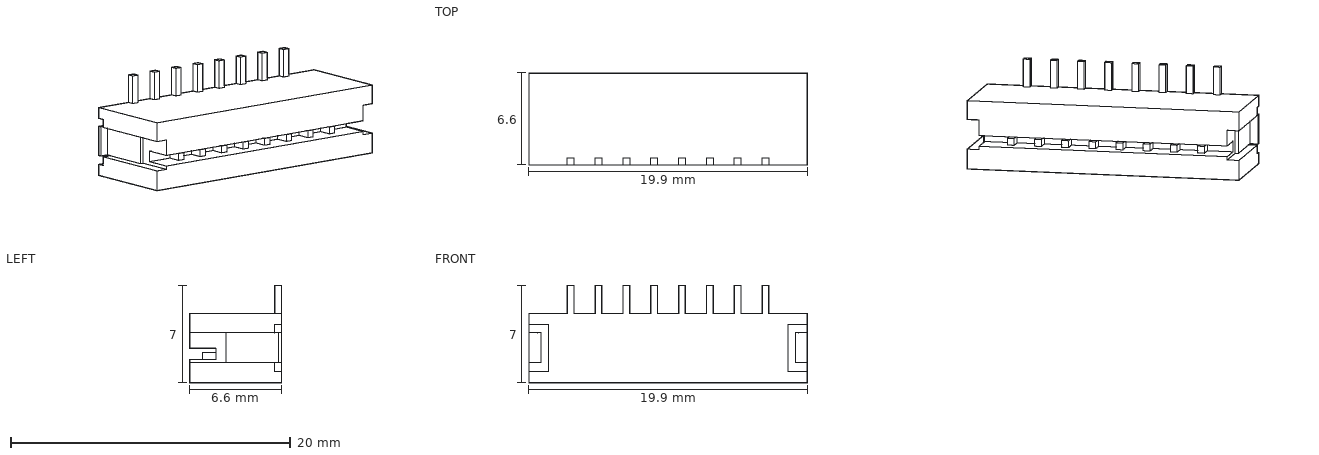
import cadquery as cq


length = 19.95
depth = 6.6
housing_height = 4.99

contact_count = 8
contact_pitch = 2.0
wire = 0.5
leg_top = 7.0
pin_tip_y = 5.69

channel_depth = 0.85
channel_bottom = 1.45
channel_top = 3.61

pocket_width = 1.4
pocket_depth = wire
pocket_bottom = 0.82
pocket_top = 4.19

slot_bottom = 1.7
slot_top = 2.47
slot_floor_y = 4.7

tab_thickness = 0.24
tab_length = 3.99


def box(x_range, y_range, z_range):
    """Box spanning the given (low, high) pair on each axis."""
    sizes = [high - low for low, high in (x_range, y_range, z_range)]
    corner = (x_range[0], y_range[0], z_range[0])
    return cq.Workplane("XY").box(*sizes, centered=False).translate(corner)


def with_opposite_end(shape):
    """Shape at the X = 0 end together with its mirror image at the other end."""
    return shape.union(shape.mirror("YZ", (length / 2, 0, 0)))


def make_housing():
    body = box((0, length), (0, depth), (0, housing_height))
    channel = box((0, channel_depth), (0, depth), (channel_bottom, channel_top))
    pocket = box((0, pocket_width), (0, pocket_depth), (pocket_bottom, pocket_top))
    slot = box((0, length), (slot_floor_y, depth), (slot_bottom, slot_top))
    return body.cut(with_opposite_end(channel.union(pocket))).cut(slot)


def make_tabs():
    """L-shaped tabs: a plate against the channel wall and a flange turned outward."""
    height_range = (channel_bottom, channel_top)
    plate = box((channel_depth - tab_thickness, channel_depth), (0, tab_length), height_range)
    flange = box((0, channel_depth), (0, tab_thickness), height_range)
    return with_opposite_end(plate.union(flange))


def make_contact(center_x):
    x_range = (center_x - wire / 2, center_x + wire / 2)
    leg = box(x_range, (0, wire), (housing_height - wire, leg_top))
    pin = box(x_range, (slot_floor_y - wire, pin_tip_y), (slot_bottom, slot_bottom + wire))
    return leg.union(pin)


result = make_housing().union(make_tabs())
first_contact_x = (length - (contact_count - 1) * contact_pitch) / 2
for index in range(contact_count):
    result = result.union(make_contact(first_contact_x + index * contact_pitch))